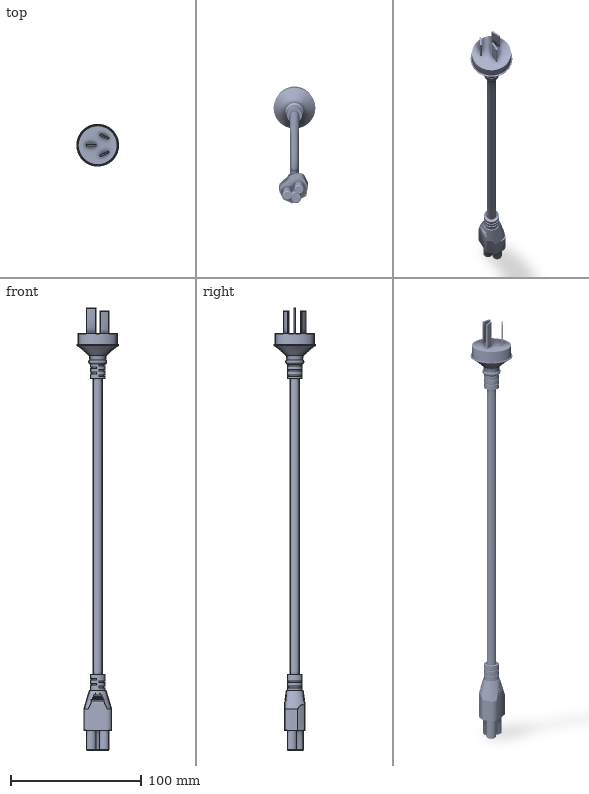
import cadquery as cq

NOSE_HEIGHT = 15.3
HOUSING_HEIGHT = 16.4
SHOULDER_HEIGHT = 14.3
CONNECTOR_RELIEF_HEIGHT = 12.3
CORD_LENGTH = 227.0
PLUG_RELIEF_HEIGHT = 11.2
COLLAR_HEIGHT = 3.1
EARTH_BLADE_LENGTH = 19.5
TOTAL_HEIGHT = 339.5

HOUSING_Z = NOSE_HEIGHT
SHOULDER_Z = HOUSING_Z + HOUSING_HEIGHT
CONNECTOR_RELIEF_Z = SHOULDER_Z + SHOULDER_HEIGHT
CORD_Z = CONNECTOR_RELIEF_Z + CONNECTOR_RELIEF_HEIGHT
PLUG_Z = CORD_Z + CORD_LENGTH
COLLAR_Z = PLUG_Z + PLUG_RELIEF_HEIGHT
NECK_Z = COLLAR_Z + COLLAR_HEIGHT
FACE_Z = TOTAL_HEIGHT - EARTH_BLADE_LENGTH

CORD_RADIUS = 3.5
RELIEF_RADIUS = 5.7
GROOVE_HEIGHT = 1.2
GROOVE_DEPTH = 1.0
GROOVE_PITCH = 4.0
GROOVE_STAGGER = GROOVE_PITCH / 2
CONNECTOR_GROOVE_START = 2.6
PLUG_GROOVE_START = 2.4
GROOVE_WEB = 1.6

HOUSING_HALF_X = 10.7
HOUSING_HALF_Y = 7.8
HOUSING_CORNER_RADIUS = 3.9
BEVEL_X = 4.5
BEVEL_Y = 5.8
LOBE_RADIUS = 3.6
SIDE_LOBE_X = 5.05
SIDE_LOBE_Y = -2.15
CENTRE_LOBE_Y = 3.05
NOSE_CHAMFER = 0.5
SHOULDER_TOP_RADIUS = 6.3
RAMP_TOP_Y = 6.5
RAMP_DROP = 10.2
GRIP_WIDTHS = (10.0, 8.4, 6.4)
GRIP_HEIGHT = 1.0
GRIP_PITCH = 1.7
GRIP_DEPTH = 0.6
GRIP_Z = SHOULDER_Z + 6.7

DISC_RADIUS = 15.0
FLANGE_RADIUS = 16.0
FLANGE_THICKNESS = 0.6
DISC_HEIGHT = 8.4
NECK_RADIUS = 6.0
CONE_FOOT_RADIUS = 6.4
CONE_FOOT_Z = NECK_Z + 3.4
CONE_MID = (11.1, NECK_Z + 7.8)
COLLAR_RADIUS = 6.9
COLLAR_TOP_RADIUS = 6.5
BLADE_WIDTH = 7.2
BLADE_THICKNESS = 1.2
LIVE_BLADE_LENGTH = 17.3
BLADE_X = 5.1
LIVE_BLADE_Y = 6.65
LIVE_BLADE_ANGLE = 25.0


def half_ring_groove(z_middle, side):
    """Groove round one half of a strain relief: side -1 is the -X half, +1 the +X half."""
    ring = (
        cq.Workplane("XY", origin=(0, 0, z_middle - GROOVE_HEIGHT / 2))
        .circle(RELIEF_RADIUS + GROOVE_DEPTH)
        .circle(RELIEF_RADIUS - GROOVE_DEPTH)
        .extrude(GROOVE_HEIGHT)
    )
    size = 4 * RELIEF_RADIUS
    half = cq.Workplane("XY").box(size, size, size)
    half = half.translate((side * (size + GROOVE_WEB) / 2, 0, z_middle))
    return ring.intersect(half)


def cut_grooves(body, z_lowest, count, side):
    for i in range(count):
        body = body.cut(half_ring_groove(z_lowest + i * GROOVE_PITCH, side))
    return body


def housing_prism(z_bottom, height):
    """Housing section: rounded corners on the -Y side, long bevels on the +Y side."""
    prism = (
        cq.Workplane("XY", origin=(0, 0, z_bottom))
        .moveTo(-HOUSING_HALF_X, -HOUSING_HALF_Y)
        .lineTo(HOUSING_HALF_X, -HOUSING_HALF_Y)
        .lineTo(HOUSING_HALF_X, HOUSING_HALF_Y - BEVEL_Y)
        .lineTo(HOUSING_HALF_X - BEVEL_X, HOUSING_HALF_Y)
        .lineTo(-HOUSING_HALF_X + BEVEL_X, HOUSING_HALF_Y)
        .lineTo(-HOUSING_HALF_X, HOUSING_HALF_Y - BEVEL_Y)
        .close()
        .extrude(height)
    )
    return prism.edges("|Z").edges("<Y").fillet(HOUSING_CORNER_RADIUS)


def shoulder():
    """Cone from the housing up to the strain relief, trimmed by the housing sides and two ramps."""
    cone = cq.Workplane(
        cq.Solid.makeCone(HOUSING_HALF_X, SHOULDER_TOP_RADIUS, SHOULDER_HEIGHT, cq.Vector(0, 0, SHOULDER_Z))
    )
    ramp_foot_z = CONNECTOR_RELIEF_Z - RAMP_DROP
    ramps = (
        cq.Workplane("YZ")
        .moveTo(-HOUSING_HALF_Y, SHOULDER_Z)
        .lineTo(HOUSING_HALF_Y, SHOULDER_Z)
        .lineTo(HOUSING_HALF_Y, ramp_foot_z)
        .lineTo(RAMP_TOP_Y, CONNECTOR_RELIEF_Z)
        .lineTo(-RAMP_TOP_Y, CONNECTOR_RELIEF_Z)
        .lineTo(-HOUSING_HALF_Y, ramp_foot_z)
        .close()
        .extrude(HOUSING_HALF_X, both=True)
    )
    body = cone.intersect(housing_prism(SHOULDER_Z, SHOULDER_HEIGHT)).intersect(ramps)
    return cut_grip(body)


def cut_grip(body):
    """Short horizontal grooves on both ramps, narrowing upwards to form a triangle."""
    ramp_slope = (HOUSING_HALF_Y - RAMP_TOP_Y) / RAMP_DROP
    for i, width in enumerate(GRIP_WIDTHS):
        z_middle = GRIP_Z + i * GRIP_PITCH
        ramp_y = RAMP_TOP_Y + ramp_slope * (CONNECTOR_RELIEF_Z - z_middle)
        for side in (-1, 1):
            groove = cq.Workplane("XY").box(width, 2 * GRIP_DEPTH, GRIP_HEIGHT)
            body = body.cut(groove.translate((0, side * ramp_y, z_middle)))
    return body


def nose():
    """Three round lobes joined by the triangle between their centres."""
    centres = [(-SIDE_LOBE_X, SIDE_LOBE_Y), (SIDE_LOBE_X, SIDE_LOBE_Y), (0, CENTRE_LOBE_Y)]
    body = cq.Workplane("XY").polyline(centres).close().extrude(NOSE_HEIGHT)
    lobes = cq.Workplane("XY").pushPoints(centres).circle(LOBE_RADIUS).extrude(NOSE_HEIGHT)
    return body.union(lobes).faces("<Z").chamfer(NOSE_CHAMFER)


def make_connector():
    relief = cq.Workplane("XY", origin=(0, 0, CONNECTOR_RELIEF_Z)).circle(RELIEF_RADIUS)
    relief = relief.extrude(CONNECTOR_RELIEF_HEIGHT)
    relief = cut_grooves(relief, CONNECTOR_RELIEF_Z + CONNECTOR_GROOVE_START + GROOVE_STAGGER, 2, -1)
    relief = cut_grooves(relief, CONNECTOR_RELIEF_Z + CONNECTOR_GROOVE_START, 2, 1)
    return nose().union(housing_prism(HOUSING_Z, HOUSING_HEIGHT)).union(shoulder()).union(relief)


def make_cord():
    return cq.Workplane("XY", origin=(0, 0, CORD_Z)).circle(CORD_RADIUS).extrude(CORD_LENGTH)


def blade(x, y, angle, length):
    flat = cq.Workplane("XY", origin=(0, 0, FACE_Z)).rect(BLADE_WIDTH, BLADE_THICKNESS).extrude(length)
    return flat.rotate((0, 0, 0), (0, 0, 1), angle).translate((x, y, 0))


def make_plug():
    ledge_z = FACE_Z - DISC_HEIGHT
    body = (
        cq.Workplane("XZ")
        .moveTo(0, PLUG_Z)
        .lineTo(RELIEF_RADIUS, PLUG_Z)
        .lineTo(RELIEF_RADIUS, COLLAR_Z)
        .threePointArc((COLLAR_RADIUS, COLLAR_Z + COLLAR_HEIGHT / 2), (COLLAR_TOP_RADIUS, NECK_Z))
        .lineTo(NECK_RADIUS, NECK_Z)
        .lineTo(CONE_FOOT_RADIUS, CONE_FOOT_Z)
        .threePointArc(CONE_MID, (FLANGE_RADIUS, ledge_z - FLANGE_THICKNESS))
        .lineTo(FLANGE_RADIUS, ledge_z)
        .lineTo(DISC_RADIUS, ledge_z)
        .lineTo(DISC_RADIUS, FACE_Z)
        .lineTo(0, FACE_Z)
        .close()
        .revolve(360, (0, 0, 0), (0, 1, 0))
    )
    body = cut_grooves(body, PLUG_Z + PLUG_GROOVE_START + GROOVE_STAGGER, 2, -1)
    body = cut_grooves(body, PLUG_Z + PLUG_GROOVE_START, 3, 1)
    body = body.union(blade(-BLADE_X, 0, 0, EARTH_BLADE_LENGTH))
    for side in (-1, 1):
        body = body.union(blade(BLADE_X, side * LIVE_BLADE_Y, -side * LIVE_BLADE_ANGLE, LIVE_BLADE_LENGTH))
    return body


connector = make_connector()
cord = make_cord()
plug = make_plug()

result = cq.Compound.makeCompound([connector.val(), cord.val(), plug.val()])